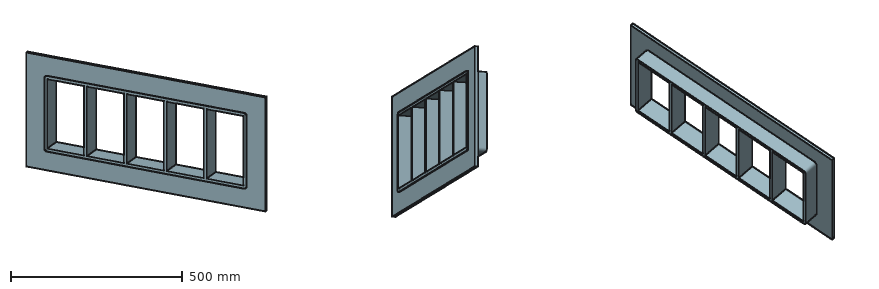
import cadquery as cq

flange_margin = 60.0
flange_thickness = 10.0

cell_count = 5
cell_width = 120.5
cell_height = 218.0
wall = 10.0
frame_depth = 60.0
frame_corner_radius = 10.0
front_lip = 3.0

cell_pitch = cell_width + wall
frame_width = cell_count * cell_pitch + wall
frame_height = cell_height + 2 * wall
flange_width = frame_width + 2 * flange_margin
flange_height = frame_height + 2 * flange_margin


def block(width, height, front_y, depth):
    """Box centred on X and Z, reaching from front_y towards +Y."""
    return cq.Workplane("XY").box(width, depth, height).translate((0, front_y + depth / 2, 0))


def make_flange():
    return block(flange_width, flange_height, 0, flange_thickness)


def make_frame():
    frame = block(frame_width, frame_height, -front_lip, frame_depth)
    return frame.edges("|Y").fillet(frame_corner_radius)


def make_cells():
    """One through opening per cell, evenly spaced along X."""
    cells = cq.Workplane("XY")
    for index in range(cell_count):
        offset = (index - (cell_count - 1) / 2) * cell_pitch
        cells = cells.add(block(cell_width, cell_height, -front_lip, frame_depth).translate((offset, 0, 0)))
    return cells.combine()


result = make_flange().union(make_frame()).cut(make_cells())